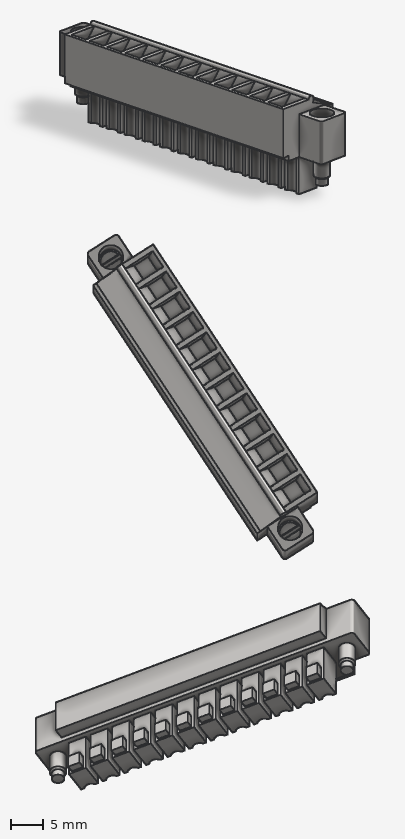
import cadquery as cq


overall_length = 56.11
overall_height = 16.1
body_length = 46.6
pole_count = 12
pole_pitch = 3.81

body_depth = 11.1
body_front_y = -6.4
body_back_y = body_front_y + body_depth
overhang_z = 0.83
base_front_y = body_front_y + 1.22
deck_z = 8.93
back_wall_z = 6.75
back_land = 0.6
slope_top_z = 8.15
ridge_front_y = -0.67
ridge_width = 1.02
ridge_crown = 0.45
ridge_back_y = ridge_front_y + ridge_width
ridge_top_z = 9.45

flange_width = 5.63
flange_height = 7.1
flange_corner_radius = 0.5
flange_front_y = -flange_width / 2
flange_back_y = flange_width / 2
screw_inset = 2.6
screw_x = overall_length / 2 - screw_inset

pocket_width = 2.96
pocket_front_y = body_front_y + 0.65
pocket_floor_front_y = body_front_y + 1.52
pocket_floor_back_y = body_front_y + 4.08
pocket_floor_z = deck_z - 2.25
pocket_slope_foot_z = pocket_floor_z + 0.3

sleeve_bottom_z = ridge_top_z - overall_height
sleeve_width = 3.0
sleeve_depth = 3.94
sleeve_front_y = -sleeve_depth / 2
sleeve_back_y = sleeve_depth / 2
groove_width = 1.86
groove_depth = 0.5
key_width = 2.0
key_back_y = 3.15
key_bottom_z = sleeve_bottom_z + 0.37
key_top_z = sleeve_bottom_z + 2.58

head_diameter = 3.8
head_bevel_width = 0.3
head_bevel_height = 0.15
head_bottom_z = 1.5
head_top_z = 3.5
slot_width = 0.65
slot_depth = 0.7
shank_diameter = 2.6
shank_chamfer_z = sleeve_bottom_z + 3.43
shank_bottom_z = sleeve_bottom_z + 3.12
tip_diameter = 1.95
tip_bottom_z = sleeve_bottom_z + 2.0

pole_positions = [(i - (pole_count - 1) / 2) * pole_pitch for i in range(pole_count)]
screw_positions = [-screw_x, screw_x]


def block(x_center, x_size, y_min, y_max, z_min, z_max):
    """Upright box centred on x_center, between the given Y and Z limits."""
    box = cq.Workplane("XY").box(x_size, y_max - y_min, z_max - z_min, centered=(True, False, False))
    return box.translate((x_center, y_min, z_min))


def make_body():
    """Long body: overhanging front and back, sloping back shoulder and a round-topped ridge."""
    ridge_mid_y = (ridge_front_y + ridge_back_y) / 2
    outline = (
        cq.Workplane("YZ", origin=(-body_length / 2, 0, 0))
        .moveTo(base_front_y, 0)
        .lineTo(flange_back_y, 0)
        .lineTo(flange_back_y, overhang_z)
        .lineTo(body_back_y, overhang_z)
        .lineTo(body_back_y, back_wall_z)
        .lineTo(body_back_y - back_land, back_wall_z)
        .lineTo(ridge_back_y, slope_top_z)
        .lineTo(ridge_back_y, ridge_top_z - ridge_crown)
        .threePointArc((ridge_mid_y, ridge_top_z), (ridge_front_y, ridge_top_z - ridge_crown))
        .lineTo(ridge_front_y, deck_z)
        .lineTo(body_front_y, deck_z)
        .lineTo(body_front_y, overhang_z)
        .lineTo(base_front_y, overhang_z)
        .close()
    )
    return outline.extrude(body_length)


def make_flanges():
    """Bar running through the body, whose rounded ends are the two screw flanges."""
    bar = block(0, overall_length, flange_front_y, flange_back_y, 0, flange_height)
    return bar.edges("|Z").fillet(flange_corner_radius)


def make_pocket(x_center):
    """Wire pocket cutter: sloped front and back walls, with a small step below the back slope."""
    outline = (
        cq.Workplane("YZ", origin=(x_center - pocket_width / 2, 0, 0))
        .moveTo(pocket_front_y, deck_z)
        .lineTo(pocket_floor_front_y, pocket_floor_z)
        .lineTo(pocket_floor_back_y, pocket_floor_z)
        .lineTo(pocket_floor_back_y, pocket_slope_foot_z)
        .lineTo(ridge_front_y, deck_z)
        .close()
    )
    return outline.extrude(pocket_width)


def make_sleeve(x_center):
    """Contact sleeve: upright block with a round groove in front and a latch key at the back."""
    sleeve = block(x_center, sleeve_width, sleeve_front_y, sleeve_back_y, sleeve_bottom_z, 0)
    groove = (
        cq.Workplane("XY", origin=(x_center, sleeve_front_y, sleeve_bottom_z))
        .moveTo(-groove_width / 2, 0)
        .threePointArc((0, groove_depth), (groove_width / 2, 0))
        .close()
        .extrude(-sleeve_bottom_z)
    )
    key = block(x_center, key_width, sleeve_back_y, key_back_y, key_bottom_z, key_top_z)
    return sleeve.cut(groove).union(key)


def make_screw_hole(x_center):
    """Stepped hole cutter: head bore open at the flange top, shank hole through the bottom."""
    head_bore = (
        cq.Workplane("XY", origin=(x_center, 0, head_bottom_z))
        .circle(head_diameter / 2)
        .extrude(flange_height - head_bottom_z)
    )
    shank_hole = cq.Workplane("XY", origin=(x_center, 0, 0)).circle(shank_diameter / 2).extrude(head_bottom_z)
    return head_bore.union(shank_hole)


def make_screw(x_center):
    """Slotted screw with a bevelled head and a thinner pilot tip."""
    head_radius = head_diameter / 2
    shank_radius = shank_diameter / 2
    tip_radius = tip_diameter / 2
    screw = (
        cq.Workplane("XZ")
        .moveTo(0, tip_bottom_z)
        .lineTo(tip_radius, tip_bottom_z)
        .lineTo(tip_radius, shank_bottom_z)
        .lineTo(shank_radius, shank_chamfer_z)
        .lineTo(shank_radius, head_bottom_z)
        .lineTo(head_radius, head_bottom_z)
        .lineTo(head_radius, head_top_z - head_bevel_height)
        .lineTo(head_radius - head_bevel_width, head_top_z)
        .lineTo(0, head_top_z)
        .close()
        .revolve(360, (0, 0, 0), (0, 1, 0))
    )
    slot = block(0, slot_width, -head_radius, head_radius, head_top_z - slot_depth, head_top_z)
    return screw.cut(slot).translate((x_center, 0, 0))


housing = make_body().union(make_flanges())
for pole_x in pole_positions:
    housing = housing.cut(make_pocket(pole_x)).union(make_sleeve(pole_x))
for x in screw_positions:
    housing = housing.cut(make_screw_hole(x))

screws = [make_screw(x) for x in screw_positions]

result = cq.Compound.makeCompound([housing.val(), *[screw.val() for screw in screws]])